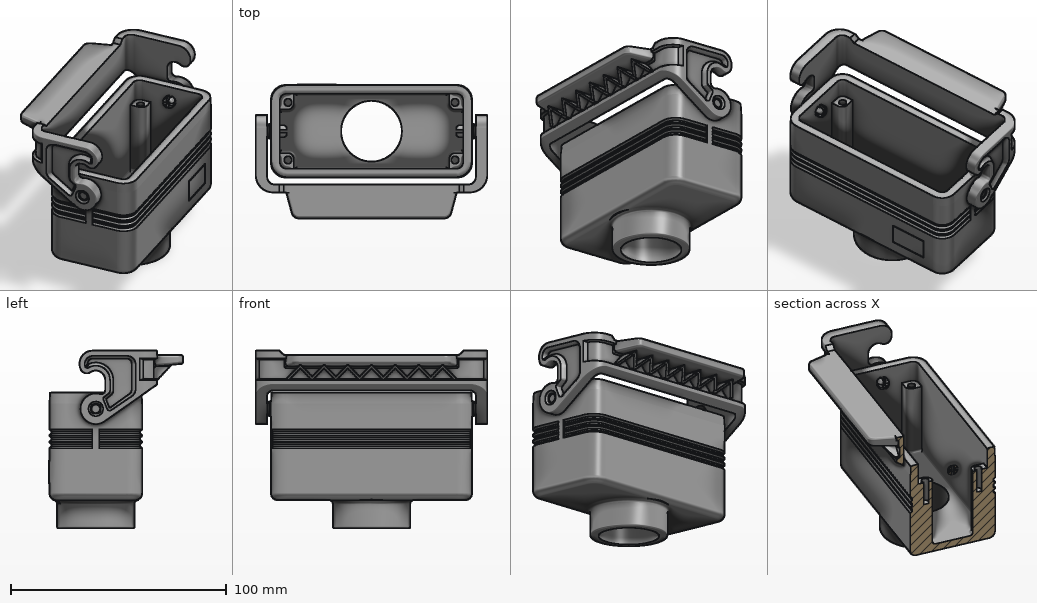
import cadquery as cq
import math


body_length = 93.4
body_width = 43.1
body_height = 50.1
corner_radius = 7.2
bottom_fillet = 3.2
collar_height = 4.9
collar_draft = 3.5
wall = 4.2
rim_crown = 0.4

floor_thickness = 4.0
wall_floor_fillet = 0.8
post_top = 39.2
post_x = 38.7
post_y = 13.35
post_inner_x = 36.0
post_inner_y = 10.1
post_radius = 3.0
post_floor_fillet = 1.5
screw_hole_diameter = 3.5
screw_hole_depth = 12.0

neck_diameter = 36.0
neck_length = 13.1
neck_bore = 28.1
neck_fillet = 1.7
neck_end_fillet = 0.8

groove_top = 32.8
groove_pitch = 3.0
groove_count = 3
groove_height = 2.7
groove_depth = 1.0
groove_slope_height = 0.9
groove_gap = 3.4

pad_left = -34.2
pad_right = -16.5
pad_bottom = 7.9
pad_top = 18.2
pad_height = 0.2

lever_span = 107.5
lever_top = 69.4
lever_front = -28.45
lever_back = -24.65
arm_thickness = 5.4
lever_outer_radius = 8.2
lever_inner_radius = 3.4
lever_edge_fillet = 0.5
slope_angle = 35.0
lever_back_limit = 20.0

pivot = (0.0, 42.35)
pivot_boss_radius = 7.1
slot_center = (0.0, 55.75)
slot_radius = 4.3
slot_fillet = 1.9
hook_tip_radius = 3.1
hook_tip_angle = 55.5
hook_back_radius = 6.2

waist_bottom = 55.6
waist_top = 65.8
waist_depth = 1.5
waist_slope_height = 0.6
waist_end = -20.5
waist_end_inset = 2.1
waist_end_run = 1.8

pocket_depth = 2.4
pocket_margin = 2.5
pocket_wall_run = 1.3
pocket_mouth_corners = [(-18.5, 66.9), (-18.5, 49.4), (-5.9, 40.9), (-3.2, 47.3), (-6.6, 50.0)]
pocket_mouth_radii = [4.0, 4.0, 1.2, 0.8, 1.5]
pocket_floor_corners = [(-16.6, 65.6), (-16.6, 50.0), (-6.4, 42.7), (-4.7, 46.8), (-8.1, 49.6)]
pocket_floor_radii = [2.2, 2.2, 0.3, 0.3, 2.5]
pocket_floor_end_angles = (64.0, 10.0)

lip_top = 67.4
lip_front = -40.5
lip_base_half = 39.6
lip_tip_half = 36.3
lip_tip_radius = 3.5
lip_edge_bottom = 63.2
lip_root_bottom = 62.0
lip_root_flare = 0.8
lip_flare_corner = 1.0
lip_top_fillet = 1.2
lip_bottom_fillet = 1.2
saddle_half = 40.6
saddle_shoulder_half = 42.8

rib_count = 7
rib_pitch = 11.0
rib_thickness = 1.3
rib_peak = 62.0
rib_valley = 56.4
rib_outer_y = -35.0
rib_outer_z = 62.6

washer_radius = 3.5
washer_rim = 0.7
washer_nose_radius = 2.4
dish_radius = 3.4
dish_floor_radius = 2.4
dish_depth = 1.0
pin_end_radius = 2.0
pin_end_depth = 1.3
pin_head_radius = 2.8
pin_head_length = 3.2
pin_head_rounding = 1.4
pin_slot_width = 1.2

overlap = 0.5


def polar(center, radius, degrees):
    angle = math.radians(degrees)
    return center[0] + radius * math.cos(angle), center[1] + radius * math.sin(angle)


def direction(start, end):
    return math.degrees(math.atan2(end[1] - start[1], end[0] - start[0]))


def rounded_corner(before, corner, after, radius):
    """Start, middle and end of the arc that rounds a corner."""
    to_before = direction(corner, before)
    to_after = direction(corner, after)
    turn = (to_after - to_before + 180.0) % 360.0 - 180.0
    half = math.radians(abs(turn) / 2.0)
    setback = radius / math.tan(half)
    bisector = to_before + turn / 2.0
    middle = polar(corner, radius / math.sin(half) - radius, bisector)
    return polar(corner, setback, to_before), middle, polar(corner, setback, to_after)


def rounded_block(length, width, radius, z_low, height, taper=0.0, center_y=0.0):
    outline = cq.Sketch().rect(length, width).vertices().fillet(radius)
    base = cq.Workplane("XY", (0, center_y, z_low))
    return base.placeSketch(outline).extrude(height, taper=taper)


def both_ends(shape):
    return shape.union(shape.mirror("YZ"))


def ring_cutter(outline, z_low, z_high, depth, slope_height):
    """Cutter for a sloped-wall groove around an outline drawn by outline(z, height, taper)."""
    taper = math.degrees(math.atan2(depth, slope_height))
    height = z_high - z_low
    lower = outline(z_low, slope_height, taper)
    upper = outline(z_low, slope_height, taper).mirror("XY", (0, 0, (z_low + z_high) / 2.0))
    core = outline(z_low, height, 0.0, depth)
    slab = cq.Workplane("XY").workplane(offset=z_low).rect(2 * lever_span, 2 * lever_span).extrude(height)
    return slab.cut(core).cut(lower).cut(upper)


def body_outline(z_low, height, taper, inset=0.0):
    return rounded_block(
        body_length - 2 * inset, body_width - 2 * inset, corner_radius - inset, z_low, height, taper
    )


def make_body():
    collar_z = body_height - rim_crown - collar_height
    lower = body_outline(0.0, collar_z, 0.0).faces("<Z").edges().fillet(bottom_fillet)
    collar = body_outline(collar_z, collar_height, collar_draft)
    return lower.union(collar).union(make_neck())


def make_neck():
    """Round neck whose root flares into the underside of the body."""
    radius = neck_diameter / 2
    flare_center = (radius + neck_fillet, -neck_fillet)
    root_z = floor_thickness / 2
    neck = (
        cq.Workplane("XZ")
        .moveTo(0, root_z)
        .lineTo(radius, root_z)
        .lineTo(flare_center[0], overlap)
        .lineTo(flare_center[0], 0)
        .threePointArc(polar(flare_center, neck_fillet, 135.0), (radius, -neck_fillet))
        .lineTo(radius, -neck_length)
        .lineTo(0, -neck_length)
        .close()
        .revolve(360, (0, 0, 0), (0, 1, 0))
    )
    return neck.faces("<Z").edges().fillet(neck_end_fillet)


def make_rim():
    """Crowned top of the wall: an arc swept around the middle of the wall."""
    inset = collar_height * math.tan(math.radians(collar_draft))
    outer_y = body_width / 2 - inset
    inner_y = body_width / 2 - wall
    rim_z = body_height - rim_crown
    middle_y = (outer_y + inner_y) / 2
    middle_inset = body_width / 2 - middle_y
    path_block = rounded_block(
        body_length - 2 * middle_inset,
        body_width - 2 * middle_inset,
        corner_radius - middle_inset,
        rim_z,
        rim_crown,
    )
    path = path_block.faces("<Z").wires()
    profile = (
        cq.Workplane("YZ")
        .moveTo(inner_y, rim_z - overlap)
        .lineTo(inner_y, rim_z)
        .threePointArc((middle_y, body_height), (outer_y, rim_z))
        .lineTo(outer_y, rim_z - overlap)
        .close()
    )
    return profile.sweep(path)


def make_cavity():
    """Inside space of the hood: leaves the corner posts standing and has rounded floor edges."""
    length = body_length - 2 * wall
    width = body_width - 2 * wall
    radius = corner_radius - wall
    depth = body_height - floor_thickness
    cavity = rounded_block(length, width, radius, floor_thickness, depth)
    cavity = cavity.faces("<Z").edges().fillet(wall_floor_fillet)
    around_posts = (
        cq.Workplane("XY", (0, 0, floor_thickness))
        .box(body_length, body_width, depth, centered=(True, True, False))
        .cut(make_posts())
        .faces("<Z")
        .edges("%CIRCLE")
        .fillet(post_floor_fillet)
    )
    return cavity.intersect(around_posts)


def at_four_posts(shape):
    return both_ends(shape.union(shape.mirror("XZ")))


def make_posts():
    length = body_length / 2 - post_inner_x
    width = body_width / 2 - post_inner_y
    outline = cq.Sketch().rect(length, width).vertices("<X and <Y").fillet(post_radius)
    base = cq.Workplane("XY", (post_inner_x + length / 2, post_inner_y + width / 2, 0))
    return at_four_posts(base.placeSketch(outline).extrude(post_top))


def make_post_holes():
    top = cq.Workplane("XY", (post_x, post_y, post_top))
    hole = top.circle(screw_hole_diameter / 2).extrude(-screw_hole_depth)
    return at_four_posts(hole)


def cut_grooves(body):
    gap = cq.Workplane("XY").box(2 * lever_span, groove_gap, 2 * lever_top)
    for index in range(groove_count):
        top = groove_top - index * groove_pitch
        cutter = ring_cutter(body_outline, top - groove_height, top, groove_depth, groove_slope_height)
        body = body.cut(cutter.cut(gap))
    return body


def make_label_pad():
    return (
        cq.Workplane("XY", (pad_left, body_width / 2 - overlap, pad_bottom))
        .box(pad_right - pad_left, overlap + pad_height, pad_top - pad_bottom, centered=False)
    )


def lever_outline(z_low, height, taper, inset=0.0):
    length = lever_span - 2 * inset
    width = lever_back_limit - lever_front - 2 * inset
    center_y = (lever_back_limit + lever_front) / 2
    return rounded_block(length, width, lever_outer_radius - inset, z_low, height, taper, center_y)


hook_tip = polar(slot_center, slot_radius + hook_tip_radius, hook_tip_angle)
hook_back_z = lever_top - hook_back_radius
hook_back_y = hook_tip[0] - math.sqrt(
    (hook_back_radius - hook_tip_radius) ** 2 - (hook_back_z - hook_tip[1]) ** 2
)
hook_back = (hook_back_y, hook_back_z)
hook_joint_angle = direction(hook_back, hook_tip)


def lever_side_profile():
    """Side shape of the lever in (Y, Z): hook, locking slot, pivot boss and sloped underside."""
    slot_y = slot_center[0] - slot_radius
    fillet_y = slot_y + slot_fillet
    boss_reach = pivot_boss_radius + slot_fillet
    fillet_center = (fillet_y, pivot[1] + math.sqrt(boss_reach**2 - (fillet_y - pivot[0]) ** 2))
    boss_start = direction(pivot, fillet_center)
    boss_end = 270.0 - slope_angle
    slope_start = polar(pivot, pivot_boss_radius, boss_end)
    slope_drop = math.tan(math.radians(slope_angle))
    slope_end_z = slope_start[1] + (slope_start[0] - lever_front) * slope_drop
    tip_end = hook_tip_angle - 180.0
    return (
        cq.Workplane("YZ")
        .moveTo(lever_front, lever_top)
        .lineTo(*polar(hook_back, hook_back_radius, 90.0))
        .threePointArc(
            polar(hook_back, hook_back_radius, (90.0 + hook_joint_angle) / 2),
            polar(hook_back, hook_back_radius, hook_joint_angle),
        )
        .threePointArc(
            polar(hook_tip, hook_tip_radius, (hook_joint_angle + tip_end) / 2),
            polar(hook_tip, hook_tip_radius, tip_end),
        )
        .threePointArc(
            polar(slot_center, slot_radius, (hook_tip_angle + 180.0) / 2),
            polar(slot_center, slot_radius, 180.0),
        )
        .lineTo(slot_y, fillet_center[1])
        .threePointArc(
            polar(fillet_center, slot_fillet, (360.0 + boss_start) / 2),
            polar(fillet_center, slot_fillet, boss_start - 180.0),
        )
        .threePointArc(
            polar(pivot, pivot_boss_radius, (boss_start + boss_end - 360.0) / 2),
            slope_start,
        )
        .lineTo(lever_front, slope_end_z)
        .close()
    )


def make_lever_frame():
    side = lever_side_profile().extrude(lever_span / 2, both=True)
    outer = lever_outline(0.0, lever_top, 0.0)
    frame = outer.intersect(side)
    frame = frame.edges("<X or >X").fillet(lever_edge_fillet)
    inner_length = lever_span - 2 * arm_thickness
    inner_width = lever_back_limit - lever_back
    inner_center_y = (lever_back_limit + lever_back) / 2
    inner = rounded_block(
        inner_length, inner_width, lever_inner_radius, 0.0, 2 * lever_top, 0.0, inner_center_y
    )
    return frame.cut(inner)


def cut_waist(lever):
    cutter = ring_cutter(lever_outline, waist_bottom, waist_top, waist_depth, waist_slope_height)
    half = lever_span / 2
    reach = (
        cq.Workplane("XY")
        .moveTo(-half, waist_end)
        .lineTo(-half + waist_end_inset, waist_end - waist_end_run)
        .lineTo(half - waist_end_inset, waist_end - waist_end_run)
        .lineTo(half, waist_end)
        .lineTo(half, 2 * lever_front)
        .lineTo(-half, 2 * lever_front)
        .close()
        .extrude(lever_top)
    )
    return lever.cut(cutter.intersect(reach))


def cut_saddle(lever):
    """Lowers the top of the front wall to the level of the lip, between sloped shoulders."""
    saddle = (
        cq.Workplane("XZ")
        .moveTo(-saddle_half, lip_top)
        .lineTo(-saddle_shoulder_half, lever_top)
        .lineTo(saddle_shoulder_half, lever_top)
        .lineTo(saddle_half, lip_top)
        .close()
        .extrude(-2 * lever_front, both=True)
    )
    return lever.cut(saddle)


def pocket_outline(x, inset, corners, radii, end_angles):
    """Closed pocket outline at a depth, following the hook, the slot, the boss and the slope."""
    slot_end, hook_start = end_angles
    slot_line = corners[-1][0]
    follow = slot_center[0] - slot_line
    hook_radius = hook_back_radius - pocket_margin - inset
    top_start = (hook_back[0], corners[0][1])
    points = [top_start] + corners + [(slot_line, slot_center[1])]
    outline = cq.Workplane("YZ", (x, 0, 0)).moveTo(*top_start)
    for before, corner, after, radius in zip(points, points[1:], points[2:], radii):
        start, middle, end = rounded_corner(before, corner, after, radius)
        outline = outline.lineTo(*start).threePointArc(middle, end)
    tip_start = polar(slot_center, follow, slot_end)
    hook_end = polar(hook_back, hook_radius, hook_start)
    return (
        outline.lineTo(slot_line, slot_center[1])
        .threePointArc(polar(slot_center, follow, (slot_end + 180.0) / 2), tip_start)
        .lineTo(*hook_end)
        .threePointArc(polar(hook_back, hook_radius, (hook_start + 90.0) / 2), top_start)
        .close()
    )


def make_arm_pocket():
    face_x = -lever_span / 2
    mouth = pocket_outline(
        face_x, 0.0, pocket_mouth_corners, pocket_mouth_radii, (hook_tip_angle, hook_joint_angle)
    )
    floor = pocket_outline(
        face_x + pocket_depth,
        pocket_wall_run,
        pocket_floor_corners,
        pocket_floor_radii,
        pocket_floor_end_angles,
    )
    wires = [mouth.wires().val(), floor.wires().val()]
    return cq.Workplane(cq.Solid.makeLoft(wires, True))


def make_lip():
    side_slant = (lip_base_half - lip_tip_half) / (lever_front - lip_front)
    root_half = lip_base_half + side_slant * (lever_back - lever_front)
    plan = (
        cq.Workplane("XY")
        .moveTo(-root_half, lever_back)
        .lineTo(-lip_tip_half, lip_front)
        .lineTo(lip_tip_half, lip_front)
        .lineTo(root_half, lever_back)
        .close()
        .extrude(lip_top)
        .edges("|Z and <Y")
        .fillet(lip_tip_radius)
    )
    section = (
        cq.Workplane("YZ")
        .moveTo(lever_back, lip_top)
        .lineTo(lip_front, lip_top)
        .lineTo(lip_front, lip_edge_bottom)
        .lineTo(lever_front + waist_depth, lip_root_bottom)
        .lineTo(lever_back, lip_root_bottom)
        .close()
        .extrude(lever_span / 2, both=True)
    )
    lip = plan.intersect(section)
    lip = lip.faces(">Z").edges("not >Y").fillet(lip_top_fillet)
    return lip.faces("<Z").edges("not >Y").fillet(lip_bottom_fillet)


def make_lip_flare():
    """Sloped flare that joins the lip to the recessed front wall."""
    length = 2 * (lip_base_half + lip_root_flare)
    height = 2 * (lip_top - lip_root_bottom + lip_root_flare)
    outline = cq.Sketch().rect(length, height).vertices().fillet(lip_flare_corner)
    flare = (
        cq.Workplane("XZ", (0, lever_front + waist_depth, lip_top))
        .placeSketch(outline)
        .extrude(lip_root_flare, taper=45.0)
    )
    below_top = cq.Workplane("XY").rect(2 * lever_span, 2 * lever_span).extrude(lip_top)
    return flare.intersect(below_top)


def make_zigzag_ribs():
    """Thin upright walls in a zigzag, cut back by a slope from the lip to the lower flange."""
    half_pitch = rib_pitch / 2
    rise = rib_peak - rib_valley
    lean = math.degrees(math.atan2(rise, half_pitch))
    length = math.hypot(rise, half_pitch) + rib_thickness
    depth = lever_back - rib_outer_y - overlap
    middle = (0, rib_outer_y + depth / 2, (rib_peak + rib_valley) / 2)
    strip = cq.Workplane("XY").box(length, depth, rib_thickness)
    left = strip.rotate((0, 0, 0), (0, 1, 0), -lean).translate((-half_pitch / 2, 0, 0))
    chevron = left.union(left.mirror("YZ")).translate(middle)
    first_x = -(rib_count - 1) / 2 * rib_pitch
    ribs = cq.Workplane("XY")
    for index in range(rib_count):
        ribs = ribs.union(chevron.translate((first_x + index * rib_pitch, 0, 0)))
    gusset = (
        cq.Workplane("YZ")
        .moveTo(rib_outer_y, rib_outer_z + overlap)
        .lineTo(rib_outer_y, rib_outer_z)
        .lineTo(lever_front, waist_bottom)
        .lineTo(lever_back - overlap, waist_bottom)
        .lineTo(lever_back - overlap, rib_outer_z + overlap)
        .close()
        .extrude(lever_span / 2, both=True)
    )
    return ribs.intersect(gusset)


def make_pivot_pin():
    """Left-hand pin: washer between arm and body, and a slotted head inside the cavity."""
    arm_x = -lever_span / 2 + arm_thickness
    body_x = -body_length / 2
    head_x = body_x + wall
    rim_x = body_x - washer_rim
    end_x = head_x + pin_head_length
    rounding_center = (end_x - pin_head_rounding, pin_head_radius - pin_head_rounding)
    profile = (
        cq.Workplane("XY")
        .moveTo(arm_x - overlap, 0)
        .lineTo(arm_x - overlap, washer_nose_radius)
        .lineTo(arm_x, washer_nose_radius)
        .lineTo(rim_x, washer_radius)
        .lineTo(body_x + overlap, washer_radius)
        .lineTo(body_x + overlap, pin_head_radius)
        .lineTo(rounding_center[0], pin_head_radius)
        .threePointArc(polar(rounding_center, pin_head_rounding, 45.0), (end_x, rounding_center[1]))
        .lineTo(end_x, 0)
        .close()
        .revolve(360, (0, 0, 0), (1, 0, 0))
    )
    across = 2 * pin_head_radius
    upright = cq.Workplane("XY", (head_x + pin_head_length / 2, 0, 0)).box(
        pin_head_length, pin_slot_width, across
    )
    level = upright.rotate((0, 0, 0), (1, 0, 0), 90)
    return profile.cut(upright).cut(level).translate((0, pivot[0], pivot[1]))


def make_pivot_dish():
    """Conical dish with a stepped floor in the outer face of the left arm at the pivot."""
    face = cq.Workplane("YZ", (-lever_span / 2, 0, 0)).center(*pivot)
    cone = face.circle(dish_radius).workplane(offset=dish_depth).circle(dish_floor_radius).loft()
    return cone.union(face.circle(pin_end_radius).extrude(pin_end_depth))


def make_hood():
    hood = cut_grooves(make_body().union(make_label_pad()))
    hood = hood.union(make_rim()).cut(make_cavity()).cut(make_post_holes())
    bore = cq.Workplane("XY").circle(neck_bore / 2).extrude(2 * neck_length, both=True)
    return hood.cut(bore)


def make_lever():
    lever = cut_saddle(cut_waist(make_lever_frame()))
    lever = lever.union(make_zigzag_ribs()).union(make_lip_flare()).union(make_lip())
    recesses = make_arm_pocket().union(make_pivot_dish())
    return lever.cut(both_ends(recesses))


result = make_hood().union(make_lever()).union(both_ends(make_pivot_pin()))